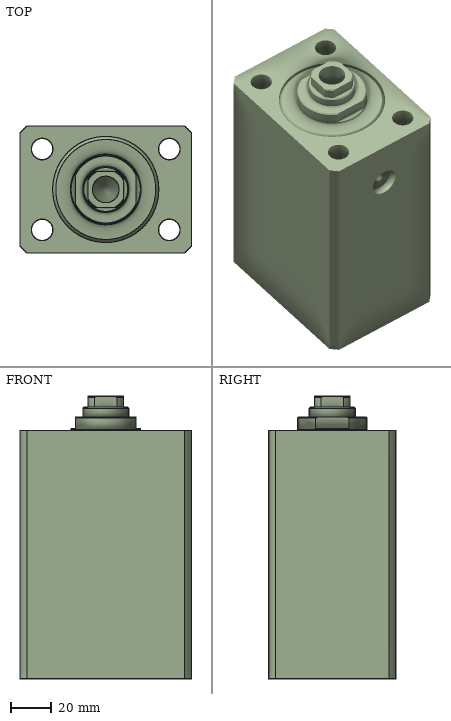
import cadquery as cq

HOUSING_X = 85.0
HOUSING_Y = 63.0
HOUSING_H = 123.0
EDGE_BEVEL = 3.4

MOUNT_DIA = 10.5
MOUNT_PITCH_X = 63.0
MOUNT_PITCH_Y = 40.0

PORT_DIA = 14.0
PORT_DEPTH = 4.0
PORT_DRILL_DIA = 4.2
PORT_Z = HOUSING_H - 24.1

BORE_DIA = 52.6
BORE_DEPTH = 35.0
GLAND_BEVEL = 1.5

TOTAL_H = 140.0
ROD_DIA = 35.0
COLLAR_DIA = 34.3
COLLAR_FLAT_WIDTH = 30.1
FLAT_BOTTOM_Z = HOUSING_H + 1.0
COLLAR_TOP_Z = HOUSING_H + 6.7
NECK_DIA = 22.8
NECK_TOP_Z = HOUSING_H + 11.5
SQUARE_WIDTH = 17.8
SQUARE_CORNER_DIA = 20.9
ROD_BEVEL = 0.5

ROD_HOLE_DIA = 13.2
ROD_HOLE_DEPTH = 21.0
DRILL_POINT_H = 3.8

BORE_FLOOR_Z = HOUSING_H - BORE_DEPTH


def cylinder(diameter, bottom_z, top_z):
    """Upright cylinder on the Z axis between two heights."""
    return cq.Workplane("XY").workplane(offset=bottom_z).circle(diameter / 2).extrude(top_z - bottom_z)


def cylinder_along_x(diameter, start_x, end_x):
    """Cylinder parallel to X at the height of the port."""
    plane = cq.Workplane("YZ", origin=(start_x, 0, PORT_Z))
    return plane.circle(diameter / 2).extrude(end_x - start_x)


def make_housing():
    block = cq.Workplane("XY").rect(HOUSING_X, HOUSING_Y).extrude(HOUSING_H)
    block = block.edges("|Z").chamfer(EDGE_BEVEL)
    mount_holes = (
        cq.Workplane("XY")
        .rect(MOUNT_PITCH_X, MOUNT_PITCH_Y, forConstruction=True)
        .vertices()
        .circle(MOUNT_DIA / 2)
        .extrude(HOUSING_H)
    )
    bore = cylinder(BORE_DIA, BORE_FLOOR_Z, HOUSING_H)
    side_x = -HOUSING_X / 2
    port = cylinder_along_x(PORT_DIA, side_x, side_x + PORT_DEPTH)
    port_drilling = cylinder_along_x(PORT_DRILL_DIA, side_x, 0)
    return block.cut(mount_holes).cut(bore).cut(port).cut(port_drilling)


def make_gland():
    """Ring flush with the housing top, beveled around its outer top edge."""
    ring = cylinder(BORE_DIA, BORE_FLOOR_Z, HOUSING_H).faces(">Z").chamfer(GLAND_BEVEL)
    return ring.cut(cylinder(ROD_DIA, BORE_FLOOR_Z, HOUSING_H))


def make_shank():
    """Rod inside the gland, tapering above the housing top to the collar diameter."""
    taper_h = (ROD_DIA - COLLAR_DIA) / 2
    return cylinder(ROD_DIA, BORE_FLOOR_Z, HOUSING_H + taper_h).faces(">Z").chamfer(taper_h)


def make_collar():
    """Round collar with two wrench flats facing -X and +X above a full-round base."""
    collar = cylinder(COLLAR_DIA, HOUSING_H, COLLAR_TOP_Z).faces(">Z").chamfer(ROD_BEVEL)
    base = cylinder(COLLAR_DIA, HOUSING_H, FLAT_BOTTOM_Z)
    between_flats = (
        cq.Workplane("XY")
        .workplane(offset=FLAT_BOTTOM_Z)
        .rect(COLLAR_FLAT_WIDTH, COLLAR_DIA)
        .extrude(COLLAR_TOP_Z - FLAT_BOTTOM_Z)
    )
    return collar.intersect(between_flats).union(base)


def make_square_end():
    """Square wrench end with turned corners."""
    turned = cylinder(SQUARE_CORNER_DIA, NECK_TOP_Z, TOTAL_H).faces(">Z").chamfer(ROD_BEVEL)
    square = (
        cq.Workplane("XY")
        .workplane(offset=NECK_TOP_Z)
        .rect(SQUARE_WIDTH, SQUARE_WIDTH)
        .extrude(TOTAL_H - NECK_TOP_Z)
    )
    return turned.intersect(square)


def make_rod_hole():
    """Cutter for the blind hole: straight wall and conical tip."""
    radius = ROD_HOLE_DIA / 2
    floor_z = TOTAL_H - ROD_HOLE_DEPTH
    profile = [
        (0, TOTAL_H),
        (radius, TOTAL_H),
        (radius, floor_z),
        (0, floor_z - DRILL_POINT_H),
    ]
    return cq.Workplane("XZ").polyline(profile).close().revolve(360, (0, 0), (0, 1))


def make_rod():
    neck = cylinder(NECK_DIA, COLLAR_TOP_Z, NECK_TOP_Z).faces(">Z").chamfer(ROD_BEVEL)
    solid_rod = make_shank().union(make_collar()).union(neck).union(make_square_end())
    return solid_rod.cut(make_rod_hole())


housing = make_housing()
gland = make_gland()
rod = make_rod()

result = cq.Compound.makeCompound([housing.val(), gland.val(), rod.val()])